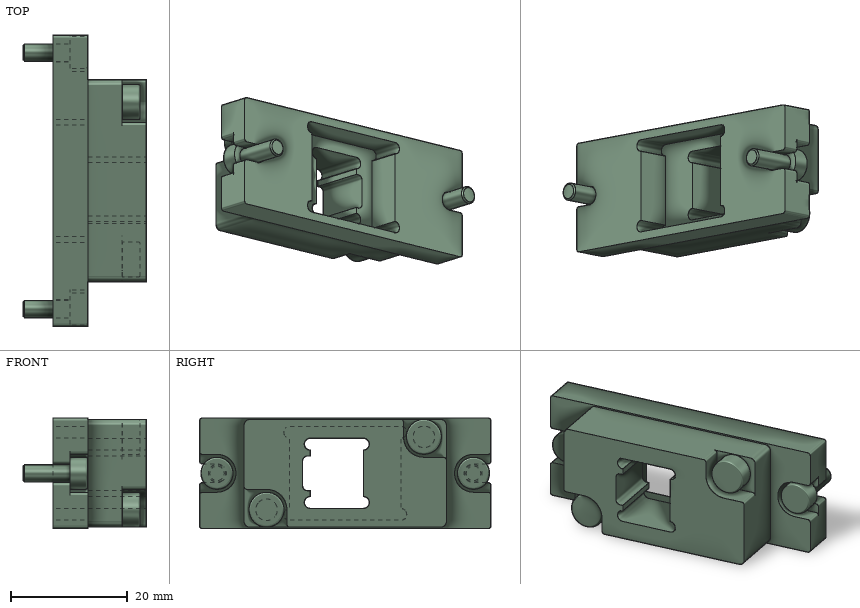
import cadquery as cq

plate_thickness = 6.0
plate_length = 50.0
plate_height = 19.0
plate_edge_radius = 0.5

block_depth = 10.0
block_length = 34.7
block_height = 18.5
block_edge_radius = 1.0
block_back = plate_thickness + block_depth

slot_spacing = 44.0
slot_width = 3.2
head_slot_width = 6.5
head_slot_depth = 3.1

plate_screw_diameter = 3.0
plate_screw_protrusion = 5.1
plate_screw_tip_chamfer = 0.25
plate_screw_head_diameter = 5.5

screw_head_length = 3.0
head_edge_radius = 0.3

relief_radius = 1.0
pocket_length = 19.1
pocket_height = 16.1
window_length = 9.1
window_height = 12.0
window_center_y = -1.45
key_depth = 1.3
key_height = 5.9
key_corner_radius = 0.8

corner_pocket_depth = 4.2
corner_pocket_radius = 3.5
corner_pocket_edge_radius = 0.5
corner_screw_inset_y = 3.85
corner_screw_inset_z = 3.0
corner_screw_y = block_length / 2 - corner_screw_inset_y
corner_screw_z = block_height / 2 - corner_screw_inset_z
corner_screw_neck_diameter = 3.7
corner_screw_neck_length = 0.15
corner_screw_head_diameter = 6.0


def yz_plane(x):
    """Workplane at the given X, with local x along Y and local y along Z."""
    return cq.Workplane("YZ", origin=(x, 0, 0))


def end_slot(width, x_start, depth, side):
    """Round-bottomed slot open to the plate end on the given side (+1 or -1 in Y)."""
    bottom_y = side * slot_spacing / 2
    open_length = plate_length - slot_spacing
    round_bottom = yz_plane(x_start).center(bottom_y, 0).circle(width / 2).extrude(depth)
    straight = yz_plane(x_start).center(bottom_y + side * open_length / 2, 0)
    return round_bottom.union(straight.rect(open_length, width).extrude(depth))


def relieved_opening(center_y, length, height, x_start, depth):
    """Rectangular opening whose corners are relieved sideways by round-ended slots."""
    opening = yz_plane(x_start).center(center_y, 0).rect(length, height).extrude(depth)
    for side in (1, -1):
        relief_z = side * (height / 2 - relief_radius)
        relief = (
            yz_plane(x_start)
            .center(center_y, relief_z)
            .slot2D(length + 2 * relief_radius, 2 * relief_radius)
            .extrude(depth)
        )
        opening = opening.union(relief)
    return opening


def mounting_plate():
    plate = yz_plane(0).rect(plate_length, plate_height).extrude(plate_thickness)
    head_floor = plate_thickness - head_slot_depth
    for side in (1, -1):
        plate = plate.cut(end_slot(slot_width, 0, plate_thickness, side))
        plate = plate.cut(end_slot(head_slot_width, head_floor, head_slot_depth, side))
    plate = plate.faces("<Y or >Y").edges("|X").fillet(plate_edge_radius)
    return plate.cut(relieved_opening(0, pocket_length, pocket_height, 0, plate_thickness))


def block_window():
    window = relieved_opening(window_center_y, window_length, window_height, plate_thickness, block_depth)
    window_side_y = window_center_y - window_length / 2
    key = (
        yz_plane(plate_thickness)
        .center(window_side_y, 0)
        .rect(2 * key_depth, key_height)
        .extrude(block_depth)
        .edges("|X and <Y")
        .fillet(key_corner_radius)
    )
    return window.union(key)


def cut_corner_pocket(block, side):
    """Cut one back corner away: side +1 is the +Y +Z corner, -1 the -Y -Z corner."""
    floor_x = block_back - corner_pocket_depth
    middle_x = floor_x + corner_pocket_depth / 2
    wall_y = side * (corner_screw_y - corner_pocket_radius)
    wall_z = side * (corner_screw_z - corner_pocket_radius)
    pocket = (
        yz_plane(floor_x)
        .moveTo(wall_y, wall_z)
        .rect(side * block_length, side * block_height, centered=False)
        .extrude(corner_pocket_depth)
        .edges(cq.selectors.NearestToPointSelector((middle_x, wall_y, wall_z)))
        .fillet(corner_pocket_radius)
    )
    block = block.cut(pocket)
    rim_points = (
        (middle_x, wall_y, side * block_height / 2),
        (middle_x, side * block_length / 2, wall_z),
    )
    for rim_point in rim_points:
        rim = block.edges(cq.selectors.NearestToPointSelector(rim_point))
        block = rim.fillet(corner_pocket_edge_radius)
    return block


def housing_block():
    block = (
        yz_plane(plate_thickness)
        .rect(block_length, block_height)
        .extrude(block_depth)
        .edges("|X")
        .fillet(block_edge_radius)
    )
    for side in (1, -1):
        block = cut_corner_pocket(block, side)
    return block.cut(block_window())


def screw_head(x_start, center, diameter):
    """Cylindrical screw head with a rounded back edge."""
    blank = yz_plane(x_start).center(*center).circle(diameter / 2).extrude(screw_head_length)
    return blank.faces(">X").edges().fillet(head_edge_radius)


def plate_screw(side):
    center = (side * slot_spacing / 2, 0)
    head_start = plate_thickness - head_slot_depth
    shank = (
        yz_plane(-plate_screw_protrusion)
        .center(*center)
        .circle(plate_screw_diameter / 2)
        .extrude(plate_screw_protrusion + head_start)
        .faces("<X")
        .chamfer(plate_screw_tip_chamfer)
    )
    return shank.union(screw_head(head_start, center, plate_screw_head_diameter))


def corner_screw(side):
    center = (side * corner_screw_y, side * corner_screw_z)
    floor_x = block_back - corner_pocket_depth
    neck = (
        yz_plane(floor_x)
        .center(*center)
        .circle(corner_screw_neck_diameter / 2)
        .extrude(corner_screw_neck_length)
    )
    head_start = floor_x + corner_screw_neck_length
    return neck.union(screw_head(head_start, center, corner_screw_head_diameter))


result = mounting_plate().union(housing_block())
for side in (1, -1):
    result = result.union(plate_screw(side))
    result = result.union(corner_screw(side))